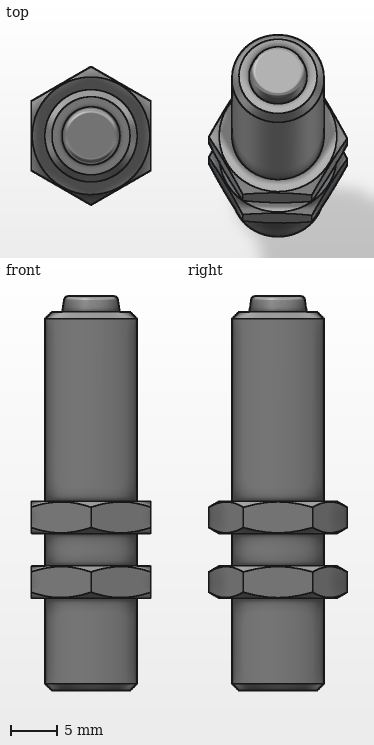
import cadquery as cq
import math

total_length = 42.8
housing_diameter = 10.0
button_height = 1.7
housing_length = total_length - button_height
end_chamfer = 0.75

button_base_diameter = 6.3
button_top_diameter = 5.75
button_rim_radius = 0.5

nut_across_flats = 13.0
nut_across_corners = nut_across_flats / math.cos(math.radians(30))
nut_thickness = 3.5
nut_face_diameter = 12.75
nut_chamfer_angle = 30
lower_nut_z = 10.0
nut_gap = 3.5
nut_count = 2


def make_housing():
    """Cylindrical housing with chamfered ends and a rounded, tapered button."""
    radius = housing_diameter / 2
    barrel = (
        cq.Workplane("XZ")
        .polyline([
            (0, 0),
            (radius - end_chamfer, 0),
            (radius, end_chamfer),
            (radius, housing_length - end_chamfer),
            (radius - end_chamfer, housing_length),
            (0, housing_length),
        ])
        .close()
        .revolve(360, (0, 0), (0, 1))
    )
    button = (
        cq.Workplane("XZ")
        .polyline([
            (0, housing_length),
            (button_base_diameter / 2, housing_length),
            (button_top_diameter / 2, total_length),
            (0, total_length),
        ])
        .close()
        .revolve(360, (0, 0), (0, 1))
        .faces(">Z").edges().fillet(button_rim_radius)
    )
    return barrel.union(button)


def make_nut(bottom_z):
    """Hexagon nut with corners up and down Y, both faces chamfered."""
    corner_radius = nut_across_corners / 2
    face_radius = nut_face_diameter / 2
    corner_drop = (corner_radius - face_radius) * math.tan(math.radians(nut_chamfer_angle))
    hexagon = (
        cq.Workplane("XY")
        .polygon(6, nut_across_corners)
        .extrude(nut_thickness)
        .rotate((0, 0, 0), (0, 0, 1), 30)
    )
    chamfer_envelope = (
        cq.Workplane("XZ")
        .polyline([
            (0, 0),
            (face_radius, 0),
            (corner_radius, corner_drop),
            (corner_radius, nut_thickness - corner_drop),
            (face_radius, nut_thickness),
            (0, nut_thickness),
        ])
        .close()
        .revolve(360, (0, 0), (0, 1))
    )
    bore = cq.Workplane("XY").circle(housing_diameter / 2).extrude(nut_thickness)
    return hexagon.intersect(chamfer_envelope).cut(bore).translate((0, 0, bottom_z))


housing = make_housing()

nut_pitch = nut_thickness + nut_gap
nuts = []
for index in range(nut_count):
    nut = make_nut(lower_nut_z + index * nut_pitch)
    nuts.append(nut.val())

result = cq.Compound.makeCompound([housing.val(), *nuts])